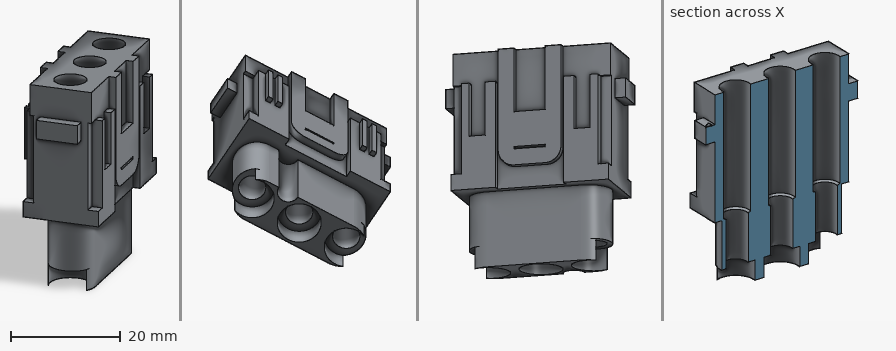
import cadquery as cq
import math

TOTAL_HEIGHT = 40.1
HOUSING_HEIGHT = 26.0
TAIL_HEIGHT = TOTAL_HEIGHT - HOUSING_HEIGHT
SHOULDER_DROP = 6.0
SHOULDER_Z = TOTAL_HEIGHT - SHOULDER_DROP

HOUSING_LENGTH = 30.0
HOUSING_WIDTH = 14.7
CORE_WIDTH = 12.0
WING_INNER_Y = 6.5
CORNER_NOTCH_X = 2.05
CORNER_NOTCH_Y = 2.0
CORNER_FOOT_HEIGHT = 3.0

PANEL_WIDTH = 11.95
PANEL_DROP = 22.0
PANEL_RADIUS = 2.95
PANEL_RECESS_WIDTH = 5.97
PANEL_RECESS_DROP = 12.0
SLOT_DROP = 18.55
SLOT_HEIGHT = 0.45
SLOT_CHAMFER = 0.15

RIB_HEIGHT = 1.0
RIB_WIDTH = 1.0
RIB_PITCH = 2.0
RIB_LENGTH = 10.0
GROOVE_WIDTH = RIB_PITCH + RIB_WIDTH

TAB_LENGTH = 2.0
TAB_HEIGHT = 3.6
FRONT_TAB_WIDTH = 8.0
BACK_TAB_WIDTH = 6.0
ARROW_WIDTH = 1.5
ARROW_LENGTH = 1.2
ARROW_MARGIN = 0.3
ARROW_DEPTH = 0.1

TAIL_LENGTH = 26.95
TAIL_WIDTH = 9.0
KEYWAY_RADIUS = 2.0
KEYWAY_Y = 4.97

BORE_PITCH = 10.0
BORE_TOP_DIAMETER = 6.0
BORE_BOTTOM_DIAMETER = 4.97
SEAT_SLOPE = 30
COUNTERBORE_DIAMETER = 8.0
COUNTERBORE_DEPTH = 4.1

SIDES = (-1, 1)


def block(x_range, y_range, z_range):
    """Box between two limits, in either order, on each axis."""
    sizes = [abs(b - a) for a, b in (x_range, y_range, z_range)]
    lows = [min(limits) for limits in (x_range, y_range, z_range)]
    return cq.Workplane("XY").box(*sizes, centered=False).translate(tuple(lows))


def housing():
    """Core block with four wings, their corners notched above a small foot."""
    body = block(
        (-CORE_WIDTH / 2, CORE_WIDTH / 2),
        (-HOUSING_LENGTH / 2, HOUSING_LENGTH / 2),
        (TAIL_HEIGHT, TOTAL_HEIGHT),
    )
    outer_x = HOUSING_WIDTH / 2
    outer_y = HOUSING_LENGTH / 2
    for side_x in SIDES:
        for side_y in SIDES:
            wing = block(
                (side_x * CORE_WIDTH / 2, side_x * outer_x),
                (side_y * WING_INNER_Y, side_y * outer_y),
                (TAIL_HEIGHT, SHOULDER_Z),
            )
            notch = block(
                (side_x * (outer_x - CORNER_NOTCH_X), side_x * outer_x),
                (side_y * (outer_y - CORNER_NOTCH_Y), side_y * outer_y),
                (TAIL_HEIGHT + CORNER_FOOT_HEIGHT, SHOULDER_Z),
            )
            body = body.union(wing).cut(notch)
    return body


def side_panel(side_x):
    """Panel with round lower corners, an open recess at the top and a thin slot."""
    core_x = side_x * CORE_WIDTH / 2
    outer_x = side_x * HOUSING_WIDTH / 2
    panel = block(
        (core_x, outer_x),
        (-PANEL_WIDTH / 2, PANEL_WIDTH / 2),
        (TOTAL_HEIGHT - PANEL_DROP, TOTAL_HEIGHT),
    )
    panel = panel.edges("|X and <Z").fillet(PANEL_RADIUS)
    recess_y = (-PANEL_RECESS_WIDTH / 2, PANEL_RECESS_WIDTH / 2)
    recess = block((core_x, outer_x), recess_y, (TOTAL_HEIGHT - PANEL_RECESS_DROP, TOTAL_HEIGHT))
    slot_top = TOTAL_HEIGHT - SLOT_DROP
    slot = block((core_x, outer_x), recess_y, (slot_top - SLOT_HEIGHT, slot_top))
    slot = slot.edges("|X and <Z").chamfer(SLOT_CHAMFER)
    return panel.cut(recess).cut(slot)


def coding_ribs():
    """Two pairs of upright ribs on the -X wings."""
    wing_x = -HOUSING_WIDTH / 2
    ribs = cq.Workplane("XY")
    for side_y in SIDES:
        for offset in (-RIB_PITCH / 2, RIB_PITCH / 2):
            y = side_y * BORE_PITCH + offset
            ribs = ribs.union(block(
                (wing_x - RIB_HEIGHT, wing_x),
                (y - RIB_WIDTH / 2, y + RIB_WIDTH / 2),
                (SHOULDER_Z - RIB_LENGTH, SHOULDER_Z),
            ))
    return ribs


def coding_grooves():
    """Grooves in the +X wings, each wide enough for one pair of ribs."""
    grooves = cq.Workplane("XY")
    for side_y in SIDES:
        y = side_y * BORE_PITCH
        grooves = grooves.union(block(
            (CORE_WIDTH / 2, HOUSING_WIDTH / 2),
            (y - GROOVE_WIDTH / 2, y + GROOVE_WIDTH / 2),
            (SHOULDER_Z - RIB_LENGTH, SHOULDER_Z),
        ))
    return grooves


def end_tab(side_y, width):
    end_y = side_y * HOUSING_LENGTH / 2
    return block(
        (-width / 2, width / 2),
        (end_y, end_y + side_y * TAB_LENGTH),
        (SHOULDER_Z - TAB_HEIGHT, SHOULDER_Z),
    )


def arrow_mark():
    """Shallow triangle sunk in the top of the +Y tab, pointing outward."""
    tip_y = HOUSING_LENGTH / 2 + TAB_LENGTH - ARROW_MARGIN
    base_y = tip_y - ARROW_LENGTH
    corners = [(0, tip_y), (-ARROW_WIDTH / 2, base_y), (ARROW_WIDTH / 2, base_y)]
    return cq.Workplane("XY", origin=(0, 0, SHOULDER_Z)).polyline(corners).close().extrude(-ARROW_DEPTH)


def tail():
    """Round-ended tail with a half-round keyway groove down its -X face."""
    body = cq.Workplane("XY").slot2D(TAIL_LENGTH, TAIL_WIDTH, 90).extrude(TAIL_HEIGHT)
    keyway = cq.Workplane("XY").center(-TAIL_WIDTH / 2, KEYWAY_Y).circle(KEYWAY_RADIUS).extrude(TAIL_HEIGHT)
    return body.cut(keyway)


def contact_bore(y):
    """Stepped through bore with a conical seat, opening into a counterbore at the bottom.

    The two end counterbores break out through the round ends of the tail.
    """
    top_radius = BORE_TOP_DIAMETER / 2
    bottom_radius = BORE_BOTTOM_DIAMETER / 2
    seat_bottom_z = TAIL_HEIGHT
    seat_height = (top_radius - bottom_radius) * math.tan(math.radians(SEAT_SLOPE))
    seat_top_z = seat_bottom_z + seat_height
    counterbore_radius = COUNTERBORE_DIAMETER / 2
    half_section = [
        (0, 0),
        (counterbore_radius, 0),
        (counterbore_radius, COUNTERBORE_DEPTH),
        (bottom_radius, COUNTERBORE_DEPTH),
        (bottom_radius, seat_bottom_z),
        (top_radius, seat_top_z),
        (top_radius, TOTAL_HEIGHT),
        (0, TOTAL_HEIGHT),
    ]
    bore = cq.Workplane("XZ").polyline(half_section).close().revolve(360, (0, 0, 0), (0, 1, 0))
    return bore.translate((0, y, 0))


result = housing().union(tail())
for side in SIDES:
    result = result.union(side_panel(side))
result = result.union(coding_ribs()).cut(coding_grooves())
result = result.union(end_tab(-1, FRONT_TAB_WIDTH))
result = result.union(end_tab(1, BACK_TAB_WIDTH)).cut(arrow_mark())
for bore_y in (-BORE_PITCH, 0, BORE_PITCH):
    result = result.cut(contact_bore(bore_y))